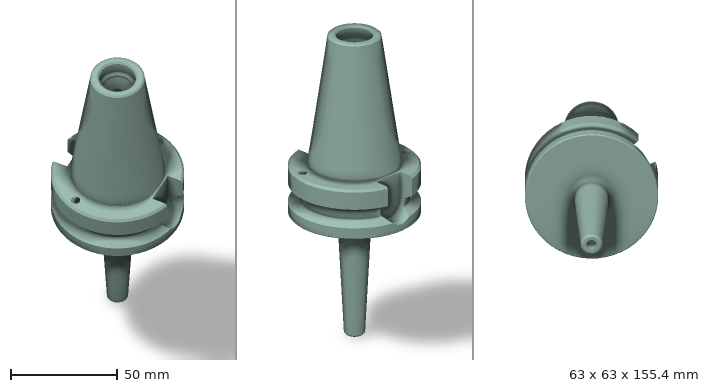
import cadquery as cq
import math

total_length = 155.4

gauge_radius = 22.2
shank_length = 65.5
shank_taper = 7 / 48
shank_end_radius = gauge_radius - shank_length * shank_taper
shank_end_chamfer = 0.8

gauge_band = 0.5
relief_height = 0.6
relief_depth = 0.5

flange_diameter = 63.0
flange_radius = flange_diameter / 2
flange_top = -1.5
flange_bottom = -26.9
flange_top_chamfer = 1.1
flange_bottom_chamfer = 0.5
groove_radius = 26.4
groove_upper_edge = -11.5
groove_lower_edge = -21.1
groove_flank_slope = math.tan(math.radians(30))
groove_floor_top = groove_upper_edge - (flange_radius - groove_radius) * groove_flank_slope
groove_floor_bottom = -18.6

nose_end = shank_length - total_length
nose_end_radius = 5.0
nose_half_angle = 3.0
nose_end_chamfer = 1.0
nose_fillet = 3.0

slot_width = 16.2
slot_bottom = -23.2
slot_floor_distance = 22.5

mouth_radius = 9.6
pilot_radius = 8.7
pilot_depth = 6.5
seat_radius = 7.1
seat_start = 7.3
seat_end = 8.2
coolant_radius = 2.5
drill_point_angle = 118.0

drilling_radius = 1.7
drilling_mouth_radius = 2.2
drilling_mouth_depth = 0.8
drilling_circle = 26.7
drilling_angles = (70, 250)
face_drilling_tilt = 30.0
face_drilling_depth = 6.2
groove_drilling_depth = 4.7
drilling_clearance = 3.1


def make_body():
    """Revolve the outer profile: taper, flange and nose."""
    fillet_end = flange_bottom - nose_fillet
    nose_slope = math.tan(math.radians(nose_half_angle))
    nose_root_radius = nose_end_radius + (fillet_end - nose_end) * nose_slope
    nose_chamfer_radius = nose_end_radius + nose_end_chamfer * nose_slope
    relief_radius = gauge_radius - relief_depth
    relief_top = -gauge_band
    relief_bottom = relief_top - relief_height
    shoulder_radius = flange_radius - (groove_floor_bottom - groove_lower_edge) / groove_flank_slope
    fillet_reach = nose_fillet * (1 - math.sqrt(0.5))
    profile = (
        cq.Workplane("YZ")
        .moveTo(0, shank_length)
        .lineTo(shank_end_radius - shank_end_chamfer, shank_length)
        .lineTo(shank_end_radius + shank_end_chamfer * shank_taper, shank_length - shank_end_chamfer)
        .lineTo(gauge_radius, 0)
        .lineTo(gauge_radius, relief_top)
        .lineTo(relief_radius, relief_top)
        .lineTo(relief_radius, relief_bottom)
        .lineTo(gauge_radius, relief_bottom)
        .lineTo(gauge_radius, flange_top)
        .lineTo(flange_radius - flange_top_chamfer, flange_top)
        .lineTo(flange_radius, flange_top - flange_top_chamfer)
        .lineTo(flange_radius, groove_upper_edge)
        .lineTo(groove_radius, groove_floor_top)
        .lineTo(groove_radius, groove_floor_bottom)
        .lineTo(shoulder_radius, groove_floor_bottom)
        .lineTo(flange_radius, groove_lower_edge)
        .lineTo(flange_radius, flange_bottom + flange_bottom_chamfer)
        .lineTo(flange_radius - flange_bottom_chamfer, flange_bottom)
        .lineTo(nose_root_radius + nose_fillet, flange_bottom)
        .threePointArc(
            (nose_root_radius + fillet_reach, flange_bottom - fillet_reach),
            (nose_root_radius, fillet_end),
        )
        .lineTo(nose_chamfer_radius, nose_end + nose_end_chamfer)
        .lineTo(nose_end_radius - nose_end_chamfer, nose_end)
        .lineTo(0, nose_end)
        .close()
    )
    return profile.revolve(360, (0, 0, 0), (0, 1, 0))


def make_bore():
    """Revolve the stepped bore, ending in a coolant hole through the nose."""
    point_length = (seat_radius - coolant_radius) / math.tan(math.radians(drill_point_angle / 2))
    mouth_chamfer = mouth_radius - pilot_radius
    profile = cq.Workplane("YZ").polyline(
        [
            (0, shank_length),
            (mouth_radius, shank_length),
            (pilot_radius, shank_length - mouth_chamfer),
            (pilot_radius, shank_length - pilot_depth),
            (seat_radius, shank_length - seat_start),
            (seat_radius, shank_length - seat_end),
            (coolant_radius, shank_length - seat_end - point_length),
            (coolant_radius, nose_end),
            (0, nose_end),
        ]
    ).close()
    return profile.revolve(360, (0, 0, 0), (0, 1, 0))


def make_drive_slot(side):
    """Cutter for one drive slot, on the +X (side = 1) or -X (side = -1) flank."""
    round_radius = slot_width / 2
    round_center = slot_bottom + round_radius
    length = flange_radius
    middle = side * (slot_floor_distance + length / 2)
    straight = cq.Workplane("XY").box(length, slot_width, -round_center, centered=(True, True, False))
    round_end = cq.Workplane("YZ").circle(round_radius).extrude(length / 2, both=True)
    return straight.union(round_end).translate((middle, 0, round_center))


def make_drilling(start, direction, depth):
    """Stepped blind drilling with a conical end; depth is measured from start to the cone."""
    point_length = drilling_radius / math.tan(math.radians(drill_point_angle / 2))
    outer = -drilling_clearance
    profile = cq.Workplane("XZ").polyline(
        [
            (0, outer),
            (drilling_mouth_radius, outer),
            (drilling_mouth_radius, drilling_mouth_depth),
            (drilling_radius, drilling_mouth_depth),
            (drilling_radius, depth),
            (0, depth + point_length),
        ]
    ).close()
    cutter = profile.revolve(360, (0, 0, 0), (0, 1, 0)).val()
    return cutter.moved(cq.Plane(origin=start, normal=direction).location)


def make_coolant_drillings(angle):
    """A tilted drilling in the flange face and a radial one in the groove below it."""
    tilt = math.radians(face_drilling_tilt)
    groove_middle = (groove_floor_top + groove_floor_bottom) / 2
    from_face = make_drilling(
        (drilling_circle, 0, flange_top), (-math.sin(tilt), 0, -math.cos(tilt)), face_drilling_depth
    )
    from_groove = make_drilling((groove_radius, 0, groove_middle), (-1, 0, 0), groove_drilling_depth)
    drillings = cq.Workplane(from_face).union(cq.Workplane(from_groove))
    return drillings.rotate((0, 0, 0), (0, 0, 1), angle)


result = make_body().cut(make_bore())
for side in (-1, 1):
    result = result.cut(make_drive_slot(side))
for angle in drilling_angles:
    result = result.cut(make_coolant_drillings(angle))